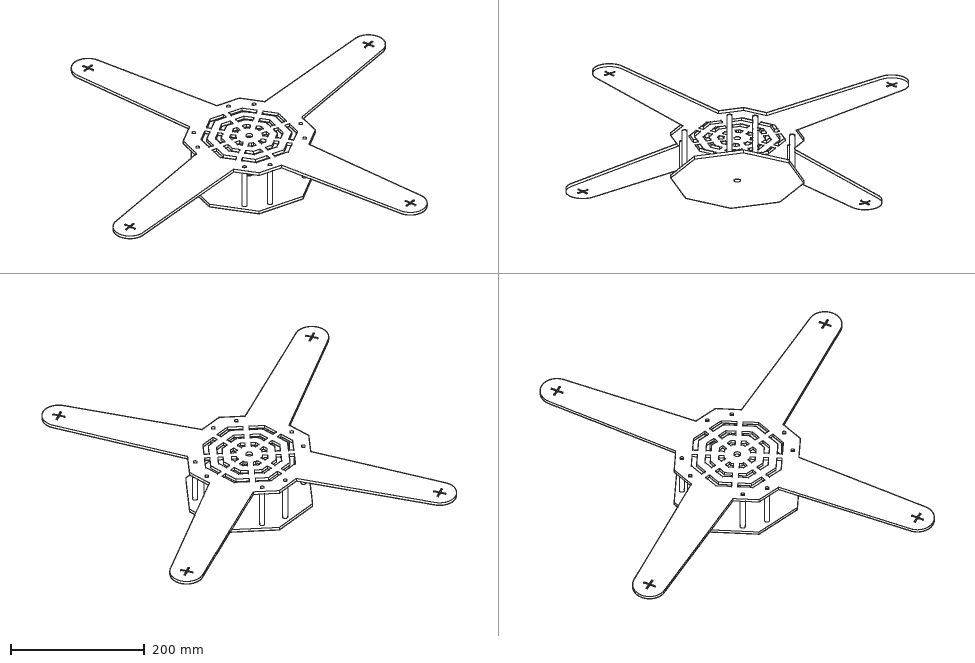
import cadquery as cq
import math

span = 651.0
height = 75.0
plate_thickness = 5.0

octagon_sides = 8
corner_pitch = 360 / octagon_sides
hub_across_flats = 185.0
center_hole_diameter = 10.0

arm_count = 4
arm_tip_radius = 25.5
arm_tip_center = span / 2 - arm_tip_radius
arm_neck_distance = 88.0
arm_neck_half_width = 34.5

cross_length = 19.0
cross_width = 2.0

vent_ring_count = 3
vent_largest_flats = 135.0
vent_smallest_flats = 55.0
vent_flats_step = (vent_largest_flats - vent_smallest_flats) / (vent_ring_count - 1)
vent_slot_width = 8.0
spoke_width = 9.0

post_diameter = 8.0
post_far = 71.0
post_near = 43.5
post_hole_diameter = 5.5
post_length = height - 2 * plate_thickness
post_positions = [
    (x_side * x, y_side * y)
    for x, y in [(post_far, post_near), (post_near, post_far)]
    for x_side in (-1, 1)
    for y_side in (-1, 1)
]


def about_z(shape, angle):
    return shape.rotate((0, 0, 0), (0, 0, 1), angle)


def octagon(across_flats):
    """Octagonal slab of plate thickness with corners on the X and Y axes."""
    across_corners = across_flats / math.cos(math.radians(corner_pitch / 2))
    return cq.Workplane("XY").polygon(octagon_sides, across_corners).extrude(plate_thickness)


def arm():
    """Tapered arm along +X with a rounded tip, starting at the plate centre."""
    taper = (arm_neck_half_width - arm_tip_radius) / (arm_tip_center - arm_neck_distance)
    center_half_width = arm_neck_half_width + taper * arm_neck_distance
    return (
        cq.Workplane("XY")
        .moveTo(0, -center_half_width)
        .lineTo(arm_tip_center, -arm_tip_radius)
        .threePointArc((span / 2, 0), (arm_tip_center, arm_tip_radius))
        .lineTo(0, center_half_width)
        .close()
        .extrude(plate_thickness)
    )


def cross_slot():
    """Cutter for the cross-shaped slot in the arm along +X."""
    tip = cq.Workplane("XY").center(arm_tip_center, 0)
    along = tip.rect(cross_length, cross_width).extrude(plate_thickness)
    across = tip.rect(cross_width, cross_length).extrude(plate_thickness)
    return along.union(across)


def vent_ring(across_flats):
    """Cutter for one octagonal ring of slots, with spokes left across the middle of each side."""
    ring = octagon(across_flats).cut(octagon(across_flats - 2 * vent_slot_width))
    bar = cq.Workplane("XY").rect(2 * across_flats, spoke_width).extrude(plate_thickness)
    for i in range(octagon_sides // 2):
        ring = ring.cut(about_z(bar, (i + 0.5) * corner_pitch))
    return ring


def round_holes(centers, diameter):
    """Cutter for round holes through a plate."""
    return cq.Workplane("XY").pushPoints(centers).circle(diameter / 2).extrude(plate_thickness)


def joined_arms():
    """All arms, joined at the plate centre."""
    arms = arm()
    for i in range(1, arm_count):
        arms = arms.union(about_z(arm(), i * 360 / arm_count))
    return arms


def make_top_plate():
    plate = octagon(hub_across_flats).union(joined_arms())
    plate = plate.cut(round_holes([(0, 0)], center_hole_diameter))
    plate = plate.cut(round_holes(post_positions, post_hole_diameter))
    for i in range(arm_count):
        plate = plate.cut(about_z(cross_slot(), i * 360 / arm_count))
    for i in range(vent_ring_count):
        plate = plate.cut(vent_ring(vent_largest_flats - i * vent_flats_step))
    return plate.translate((0, 0, height - plate_thickness))


def make_bottom_plate():
    """Plain octagonal plate with a centre hole, resting on Z = 0."""
    plate = octagon(hub_across_flats)
    return plate.cut(round_holes([(0, 0)], center_hole_diameter))


def make_post(x, y):
    """Plain round post standing on the bottom plate."""
    foot = cq.Workplane("XY", origin=(x, y, plate_thickness))
    return foot.circle(post_diameter / 2).extrude(post_length)


top_plate = make_top_plate()
bottom_plate = make_bottom_plate()
posts = [make_post(x, y).val() for x, y in post_positions]

result = cq.Compound.makeCompound([top_plate.val(), bottom_plate.val(), *posts])